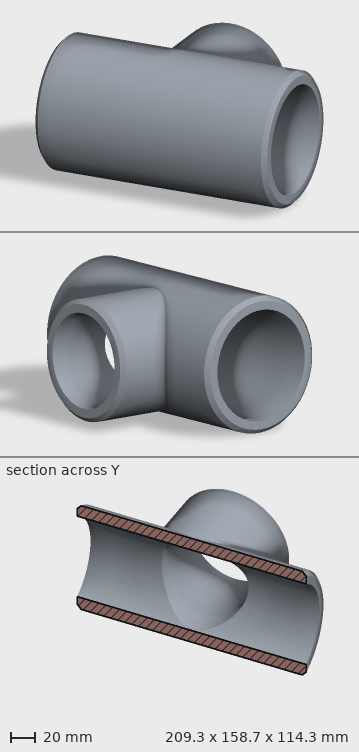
import cadquery as cq

run_length = 209.3
run_diameter = 114.3
run_bore = 92.3
wall = (run_diameter - run_bore) / 2

branch_diameter = 101.7
branch_bore = branch_diameter - 2 * wall
branch_reach = 101.5

end_chamfer = 3.8


def run_cylinder(diameter):
    """Cylinder along X over the full length of the run."""
    return cq.Workplane("YZ").circle(diameter / 2).extrude(run_length / 2, both=True)


def branch_cylinder(diameter):
    """Cylinder from the run axis to the branch end face."""
    return cq.Workplane("XZ").circle(diameter / 2).extrude(-branch_reach)


run_body = run_cylinder(run_diameter).faces("<X or >X").edges().chamfer(end_chamfer)
branch_body = branch_cylinder(branch_diameter).faces(">Y").edges().chamfer(end_chamfer)

result = (
    run_body.union(branch_body)
    .cut(run_cylinder(run_bore))
    .cut(branch_cylinder(branch_bore))
)